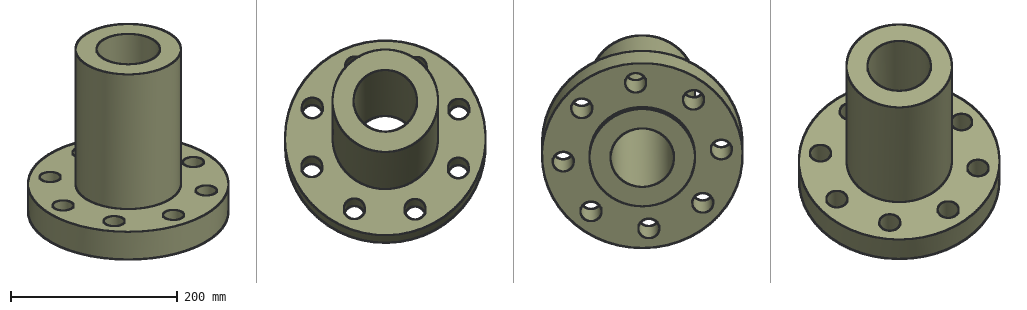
import cadquery as cq

flange_diameter = 241.2
total_height = 228.7

flange_thickness = 38.0
raised_face_height = 6.3

neck_diameter = 127.0
bore_diameter = 76.2

bolt_hole_count = 8
bolt_hole_diameter = 25.3
bolt_circle_diameter = 190.5


def make_body():
    """Neck running the full height, with the flange plate around its lower end."""
    neck = cq.Workplane("XY").circle(neck_diameter / 2).extrude(total_height)
    flange = (
        cq.Workplane("XY")
        .workplane(offset=raised_face_height)
        .circle(flange_diameter / 2)
        .extrude(flange_thickness)
    )
    return neck.union(flange)


def make_bore():
    """Through bore along the part axis."""
    return cq.Workplane("XY").circle(bore_diameter / 2).extrude(total_height)


def make_bolt_holes():
    """Ring of bolt holes through the flange, the first one on the X axis."""
    return (
        cq.Workplane("XY")
        .workplane(offset=raised_face_height)
        .polarArray(bolt_circle_diameter / 2, 0, 360, bolt_hole_count)
        .circle(bolt_hole_diameter / 2)
        .extrude(flange_thickness)
    )


result = make_body().cut(make_bore()).cut(make_bolt_holes())